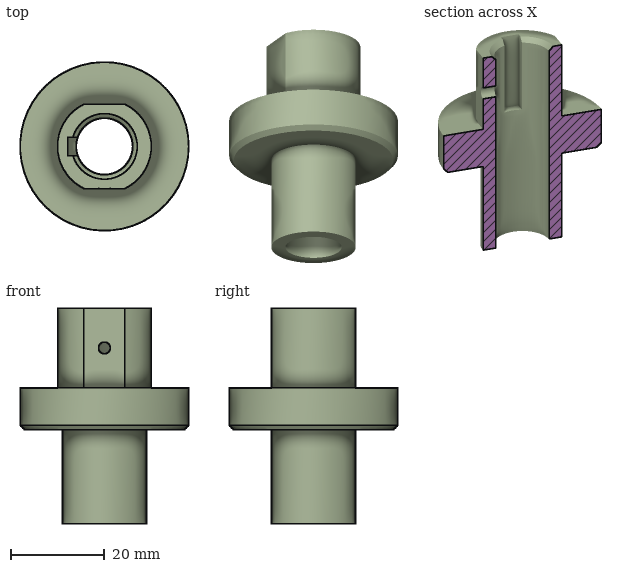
import cadquery as cq

spigot_length = 20.0
flange_thickness = 9.0
hub_length = 17.0
flange_top = spigot_length + flange_thickness
total_height = flange_top + hub_length

spigot_diameter = 18.0
flange_diameter = 36.0
hub_diameter = 20.0
hub_across_flats = 18.0
bore_diameter = 12.0
flange_chamfer = 1.0
bore_chamfer = 1.0

keyway_width = 4.0
keyway_reach = 7.8
keyway_depth = hub_length

screw_hole_diameter = 2.5
screw_hole_height = flange_top + hub_length / 2


def cylinder(diameter, length, base_height):
    return cq.Workplane("XY").workplane(offset=base_height).circle(diameter / 2).extrude(length)


def make_flange():
    flange = cylinder(flange_diameter, flange_thickness, spigot_length)
    return flange.faces("<Z").chamfer(flange_chamfer)


def make_hub():
    """Round hub with two parallel flats facing -Y and +Y."""
    hub = cylinder(hub_diameter, hub_length, flange_top)
    flats_envelope = (
        cq.Workplane("XY")
        .workplane(offset=flange_top)
        .rect(hub_diameter, hub_across_flats)
        .extrude(hub_length)
    )
    return hub.intersect(flats_envelope)


def make_bore():
    """Through bore that flares out to a conical chamfer at the top."""
    bore_radius = bore_diameter / 2
    return (
        cq.Workplane("XZ")
        .moveTo(0, 0)
        .lineTo(bore_radius, 0)
        .lineTo(bore_radius, total_height - bore_chamfer)
        .lineTo(bore_radius + bore_chamfer, total_height)
        .lineTo(0, total_height)
        .close()
        .revolve(360, (0, 0), (0, 1))
    )


def make_keyway():
    """Blind slot from the axis out to the keyway wall."""
    return (
        cq.Workplane("XY")
        .workplane(offset=total_height - keyway_depth)
        .center(-keyway_reach / 2, 0)
        .rect(keyway_reach, keyway_width)
        .extrude(keyway_depth)
    )


def make_screw_hole():
    """Radial hole from the axis out through the -Y flat."""
    return (
        cq.Workplane("XZ")
        .center(0, screw_hole_height)
        .circle(screw_hole_diameter / 2)
        .extrude(hub_across_flats / 2)
    )


spigot = cylinder(spigot_diameter, spigot_length, 0)
body = spigot.union(make_flange()).union(make_hub())
result = body.cut(make_bore()).cut(make_keyway()).cut(make_screw_hole())